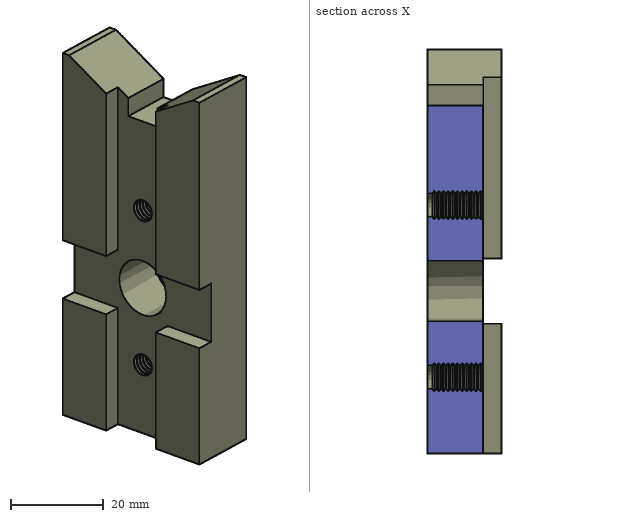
import cadquery as cq
import math

WIDTH = 38.0
DEPTH = 16.0
HEIGHT = 87.0

CHANNEL_DEPTH = 4.0
UPRIGHT_CHANNEL_WIDTH = 13.8
CROSS_CHANNEL_HEIGHT = 14.0
CROSS_CENTER_Z = 35.0

SEAT_WIDTH = 34.45
SEAT_SLOPE = math.radians(30)
RELIEF_WIDTH = 8.0
RELIEF_FLOOR_Z = 75.0

MAIN_BORE_DIAMETER = 13.0
SCREW_HOLE_OFFSET = 18.5
THREAD_MINOR_DIAMETER = 5.0
THREAD_MAJOR_DIAMETER = 6.0
THREAD_PITCH = 1.0
THREAD_GROOVE_WIDTH = 0.8
THREAD_END_GAP = 0.13


def front_channels():
    """Upright and cross channels, cut to the same depth and meeting at the main bore."""
    upright = cq.Workplane("XY").box(
        UPRIGHT_CHANNEL_WIDTH, CHANNEL_DEPTH, HEIGHT, centered=(True, False, False)
    )
    cross = (
        cq.Workplane("XY")
        .box(WIDTH, CHANNEL_DEPTH, CROSS_CHANNEL_HEIGHT, centered=(True, False, True))
        .translate((0, 0, CROSS_CENTER_Z))
    )
    return upright.union(cross)


def v_seat():
    """V opening with the relief slot at its bottom, through the full depth."""
    apex_z = HEIGHT - SEAT_WIDTH / 2 * math.tan(SEAT_SLOPE)
    vee = (
        cq.Workplane("XZ")
        .polyline([(-SEAT_WIDTH / 2, HEIGHT), (0, apex_z), (SEAT_WIDTH / 2, HEIGHT)])
        .close()
        .extrude(-DEPTH)
    )
    relief = (
        cq.Workplane("XY")
        .box(RELIEF_WIDTH, DEPTH, HEIGHT - RELIEF_FLOOR_Z, centered=(True, False, False))
        .translate((0, 0, RELIEF_FLOOR_Z))
    )
    return vee.union(relief)


def through_hole(diameter, z):
    """Cylinder along Y at height z, through the full depth."""
    return cq.Workplane("XZ").center(0, z).circle(diameter / 2).extrude(-DEPTH)


def threaded_hole(z):
    """Screw hole whose thread is a row of V grooves, one per pitch, around the minor bore."""
    minor_radius = THREAD_MINOR_DIAMETER / 2
    major_radius = THREAD_MAJOR_DIAMETER / 2
    thread_start = CHANNEL_DEPTH + THREAD_END_GAP
    groove_count = math.floor((DEPTH - THREAD_END_GAP - thread_start) / THREAD_PITCH)

    outline = cq.Workplane("XY").moveTo(0, 0).lineTo(minor_radius, 0)
    for index in range(groove_count):
        groove_y = thread_start + index * THREAD_PITCH
        outline = (
            outline.lineTo(minor_radius, groove_y)
            .lineTo(major_radius, groove_y + THREAD_GROOVE_WIDTH / 2)
            .lineTo(minor_radius, groove_y + THREAD_GROOVE_WIDTH)
        )
    outline = outline.lineTo(minor_radius, DEPTH).lineTo(0, DEPTH).close()
    return outline.revolve(360, (0, 0, 0), (0, 1, 0)).translate((0, 0, z))


block = cq.Workplane("XY").box(WIDTH, DEPTH, HEIGHT, centered=(True, False, False))
result = (
    block.cut(front_channels())
    .cut(v_seat())
    .cut(through_hole(MAIN_BORE_DIAMETER, CROSS_CENTER_Z))
)
for side in (-1, 1):
    result = result.cut(threaded_hole(CROSS_CENTER_Z + side * SCREW_HOLE_OFFSET))